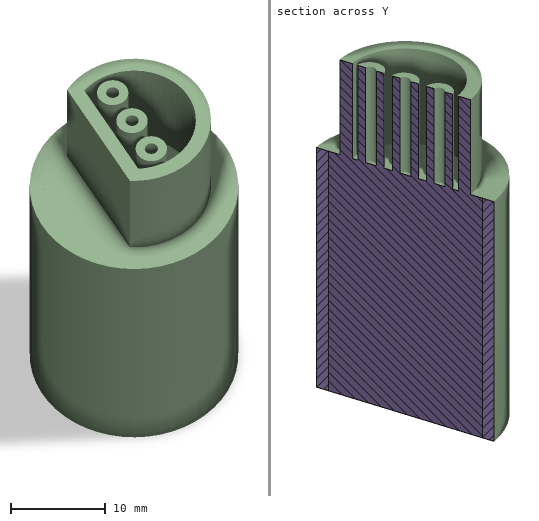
import cadquery as cq
import math

total_height = 40.75
sleeve_height = 29.25
sleeve_diameter = 22.0
core_diameter = 19.0

shroud_radius = 8.1
shroud_flat_offset = 4.3
cavity_radius = 6.52
cavity_flat_offset = 2.75
shroud_height = total_height - sleeve_height
cavity_depth = shroud_height

socket_diameter = 3.3
socket_bore = 1.4
socket_pitch = 4.25
socket_y = -0.25
socket_count = 3


def d_prism(radius, flat_offset, base_z, height):
    """Cylinder segment with one flat facing -Y."""
    half_flat = math.sqrt(radius**2 - flat_offset**2)
    return (
        cq.Workplane("XY", origin=(0, 0, base_z))
        .moveTo(-half_flat, -flat_offset)
        .threePointArc((0, radius), (half_flat, -flat_offset))
        .close()
        .extrude(height)
    )


def make_sleeve():
    """Plain tube around the connector core."""
    return (
        cq.Workplane("XY")
        .circle(sleeve_diameter / 2)
        .circle(core_diameter / 2)
        .extrude(sleeve_height)
    )


def make_connector():
    """Round core with a hollow D-shaped shroud and a row of bored sockets."""
    cavity_floor = total_height - cavity_depth
    core = cq.Workplane("XY").circle(core_diameter / 2).extrude(sleeve_height)
    shroud = d_prism(shroud_radius, shroud_flat_offset, sleeve_height, shroud_height)
    cavity = d_prism(cavity_radius, cavity_flat_offset, cavity_floor, cavity_depth)
    connector = core.union(shroud).cut(cavity)

    for index in range(socket_count):
        socket_x = (index - (socket_count - 1) / 2) * socket_pitch
        base = cq.Workplane("XY", origin=(socket_x, socket_y, cavity_floor))
        socket = base.circle(socket_diameter / 2).circle(socket_bore / 2).extrude(cavity_depth)
        connector = connector.union(socket)
    return connector


sleeve = make_sleeve()
connector = make_connector()
result = cq.Compound.makeCompound([sleeve.val(), connector.val()])